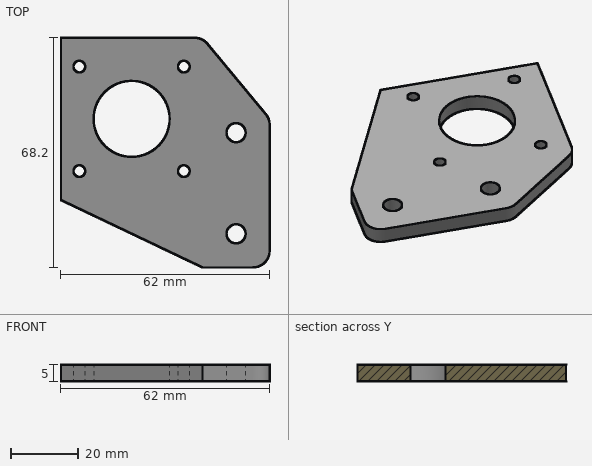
import cadquery as cq

width = 62.0
height = 68.2
thickness = 5.0
corner_radius = 5.0

lower_slope_run = 42.0
lower_slope_rise = 20.0
upper_slope_run = 20.0
upper_slope_drop = 24.1

motor_x = 21.0
motor_y = height - upper_slope_drop
motor_opening_diameter = 22.5
motor_screw_spacing = 31.0
motor_screw_diameter = 3.4

mount_hole_diameter = 5.6
mount_hole_margin = 10.0
mount_hole_spacing = 30.0


def plate():
    """Six-sided plate with its three right-hand corners rounded."""
    outline = [
        (lower_slope_run, 0),
        (width, 0),
        (width, height - upper_slope_drop),
        (width - upper_slope_run, height),
        (0, height),
        (0, lower_slope_rise),
    ]
    rounded_corners = outline[1:4]
    body = cq.Workplane("XY").polyline(outline).close().extrude(thickness)
    for x, y in rounded_corners:
        corner_edge = cq.selectors.NearestToPointSelector((x, y, thickness / 2))
        body = body.edges("|Z").edges(corner_edge).fillet(corner_radius)
    return body


def through_holes(centers, diameter):
    """Cylinders through the plate thickness at the given centers."""
    return cq.Workplane("XY").pushPoints(centers).circle(diameter / 2).extrude(thickness)


half_spacing = motor_screw_spacing / 2
motor_screw_centers = [
    (motor_x + side_x * half_spacing, motor_y + side_y * half_spacing)
    for side_x in (-1, 1)
    for side_y in (-1, 1)
]
mount_hole_x = width - mount_hole_margin
mount_hole_centers = [
    (mount_hole_x, mount_hole_margin),
    (mount_hole_x, mount_hole_margin + mount_hole_spacing),
]

result = (
    plate()
    .cut(through_holes([(motor_x, motor_y)], motor_opening_diameter))
    .cut(through_holes(motor_screw_centers, motor_screw_diameter))
    .cut(through_holes(mount_hole_centers, mount_hole_diameter))
)